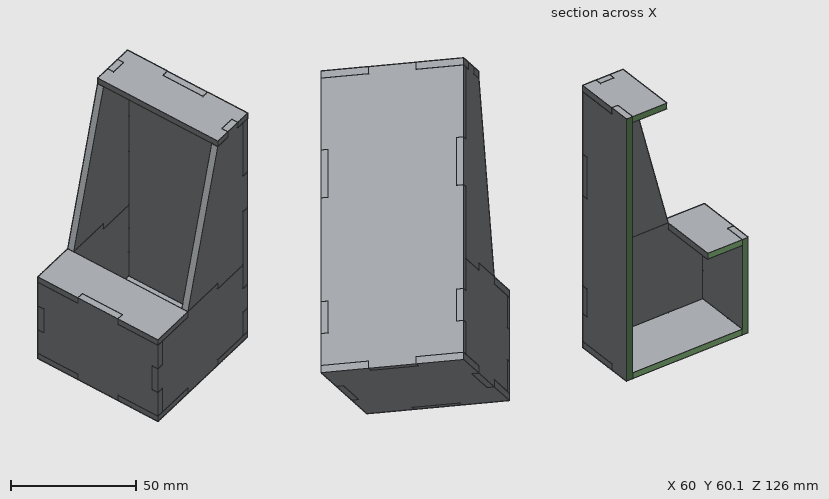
import cadquery as cq


width = 60.0
depth = width
height = 126.0
box_height = 46.0
sheet = 3.0
top_overhang = 0.1

finger = width / 3
shelf_depth = finger
top_depth = finger
top_finger = top_depth / 3

half_width = width / 2
back_inner = depth - sheet
cheek_front = shelf_depth
cheek_joint_rear = cheek_front + finger
cheek_top_front = depth - top_depth
top_front = cheek_top_front + top_overhang
top_rear = depth + top_overhang
shelf_underside = box_height - sheet
top_underside = height - sheet

box_finger = (shelf_underside - sheet) / 3
box_finger_low = sheet + box_finger
cheek_finger_low = (shelf_underside + top_underside - finger) / 2

full_width = (-half_width, half_width)
middle_third = (-finger / 2, finger / 2)
side_walls = [
    (-half_width, -half_width + sheet),
    (half_width - sheet, half_width),
]


def block(x_span, y_span, z_span):
    """Axis-aligned block given by its (low, high) limits along X, Y and Z."""
    x_low, x_high = x_span
    y_low, y_high = y_span
    z_low, z_high = z_span
    size = (x_high - x_low, y_high - y_low, z_high - z_low)
    return cq.Workplane("XY").box(*size, centered=False).translate((x_low, y_low, z_low))


def notched(panel, neighbours):
    """Panel with openings where its neighbours' fingers pass through it."""
    for neighbour in neighbours:
        panel = panel.cut(neighbour)
    return panel


def make_lower_side(x_span):
    """Side wall of the box, with one finger on each of its four edges."""
    vertical_finger = block(x_span, (cheek_front, cheek_joint_rear), (0, box_height))
    level_finger = block(x_span, (0, depth), (box_finger_low, box_finger_low + box_finger))
    wall = block(x_span, (sheet, back_inner), (sheet, shelf_underside))
    return wall.union(vertical_finger).union(level_finger)


def make_cheek(x_span):
    """Sloped wall standing on a lower side, with fingers into the back and top panels."""
    outline = [
        (cheek_front, box_height),
        (cheek_joint_rear, box_height),
        (cheek_joint_rear, shelf_underside),
        (back_inner, shelf_underside),
        (back_inner, top_underside),
        (cheek_top_front, top_underside),
    ]
    wall = (
        cq.Workplane("YZ", origin=(x_span[0], 0, 0))
        .polyline(outline)
        .close()
        .extrude(sheet)
    )
    back_finger = block(x_span, (back_inner, depth), (cheek_finger_low, cheek_finger_low + finger))
    top_finger_front = top_front + top_finger
    upper_finger = block(x_span, (top_finger_front, top_finger_front + top_finger), (top_underside, height))
    return wall.union(back_finger).union(upper_finger)


def make_front(lower_sides):
    """Front panel of the box, with fingers into the bottom and the shelf."""
    panel = block(full_width, (0, sheet), (sheet, shelf_underside))
    fingers = block(middle_third, (0, sheet), (0, box_height))
    return notched(panel.union(fingers), lower_sides)


def make_back(lower_sides, cheeks):
    """Back panel over the full height, with fingers into the bottom and the top."""
    panel = block(full_width, (back_inner, depth), (sheet, top_underside))
    fingers = block(middle_third, (back_inner, depth), (0, height))
    return notched(panel.union(fingers), lower_sides + cheeks)


def make_bottom(walls):
    """Bottom panel, notched for the four walls that stand on it."""
    return notched(block(full_width, (0, depth), (0, sheet)), walls)


def make_shelf(front):
    """Cover over the front third of the box; the rest of the box stays open."""
    return notched(block(full_width, (0, shelf_depth), (shelf_underside, box_height)), [front])


def make_top(cheeks):
    """Top panel, notched for the cheeks and, through its rear edge, for the back panel."""
    panel = block(full_width, (top_front, top_rear), (top_underside, height))
    back_slot = block(middle_third, (back_inner, top_rear), (top_underside, height))
    return notched(panel, cheeks + [back_slot])


lower_sides = [make_lower_side(x_span) for x_span in side_walls]
cheeks = [make_cheek(x_span) for x_span in side_walls]
front = make_front(lower_sides)
back = make_back(lower_sides, cheeks)
bottom = make_bottom(lower_sides + [front, back])
shelf = make_shelf(front)
top = make_top(cheeks)

bodies = [bottom, front, back, shelf, top] + lower_sides + cheeks
result = cq.Compound.makeCompound([body.solids().val() for body in bodies])